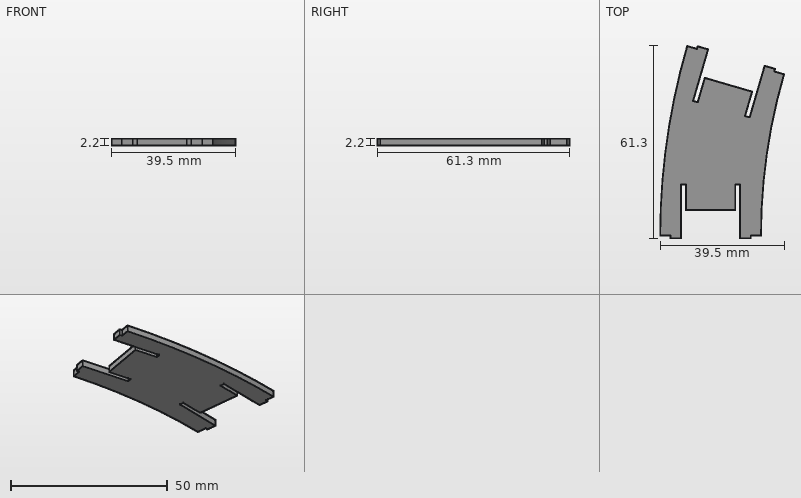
import cadquery as cq
import math

thickness = 2.2
centerline_radius = 200.0
overall_length = 61.3
track_width = 32.2
tab_span = 25.7
rail_gap = 18.7
tongue_width = 15.75
tab_length = 0.85
tongue_setback = 8.15
slot_setback = 16.25

outer_radius = centerline_radius + track_width / 2
inner_radius = centerline_radius - track_width / 2

sweep_angle = math.degrees(math.asin((overall_length - tab_length) / outer_radius))

bend_center = (centerline_radius, 0)


def bend_point(radius, angle):
    """Point on an arc about the bend center, at an angle from the first end."""
    turn = math.radians(angle)
    return (bend_center[0] - radius * math.cos(turn), radius * math.sin(turn))


def curved_body():
    """Ring sector with both ends cut square to the track."""
    half_angle = sweep_angle / 2
    return (
        cq.Workplane("XY")
        .moveTo(*bend_point(outer_radius, 0))
        .threePointArc(bend_point(outer_radius, half_angle), bend_point(outer_radius, sweep_angle))
        .lineTo(*bend_point(inner_radius, sweep_angle))
        .threePointArc(bend_point(inner_radius, half_angle), bend_point(inner_radius, 0))
        .close()
        .extrude(thickness)
    )


def end_block(width, y_start, y_end):
    """Full-thickness block centered across the first end."""
    return (
        cq.Workplane("XY")
        .center(0, (y_start + y_end) / 2)
        .rect(width, y_end - y_start)
        .extrude(thickness)
    )


def to_far_end(shape):
    """Carry a first-end shape to the far end by mirroring it along the track."""
    return (
        shape.mirror("XZ")
        .rotate((*bend_center, 0), (*bend_center, 1), -sweep_angle)
    )


tabs = end_block(tab_span, -tab_length, tab_length)
tongue = end_block(tongue_width, tongue_setback, slot_setback)
rail_opening = end_block(rail_gap, -tab_length, slot_setback).cut(tongue)

result = curved_body().union(tabs).union(to_far_end(tabs))
result = result.cut(rail_opening).cut(to_far_end(rail_opening))